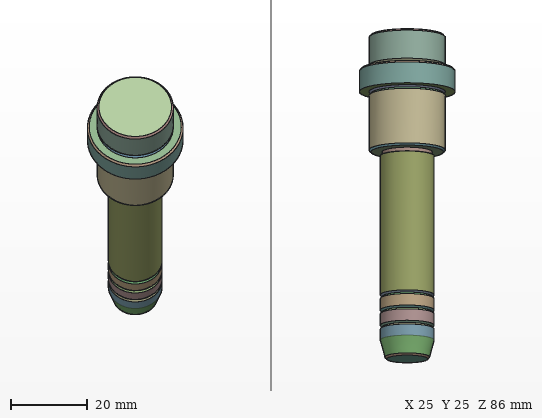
import cadquery as cq
import math

TOTAL_LENGTH = 86.0
HEAD_RADIUS = 10.0
FLANGE_DIAMETER = 25.0
SHAFT_RADIUS = 7.05

FLANGE_TOP = 8.95
FLANGE_BOTTOM = 15.0
BODY_BOTTOM = 31.0
FIRST_RING_GROOVE = 69.0
RING_GROOVE_PITCH = 4.0
RING_GROOVE_COUNT = 3
CONE_START = 81.0

CHAMFER = 0.5
GROOVE_DEPTH = 0.5
GROOVE_WIDTH = 2 * GROOVE_DEPTH
NECK_DEPTH = 0.5
NECK_LENGTH = 1.0
TIP_CHAMFER = 0.5
CONE_HALF_ANGLE = 15.0

NECK_RADIUS = SHAFT_RADIUS - NECK_DEPTH
FLANGE_RADIUS = FLANGE_DIAMETER / 2
CONE_LENGTH = TOTAL_LENGTH - TIP_CHAMFER - CONE_START
TIP_RADIUS = SHAFT_RADIUS - CONE_LENGTH * math.tan(math.radians(CONE_HALF_ANGLE))


def height(distance_from_top):
    """Z coordinate of a level given as a distance below the top face."""
    return TOTAL_LENGTH - distance_from_top


def v_groove(radius, groove_top):
    """Upper edge, root and lower edge of a V groove in a cylinder of this radius."""
    return [
        (radius, height(groove_top)),
        (radius - GROOVE_DEPTH, height(groove_top + GROOVE_WIDTH / 2)),
        (radius, height(groove_top + GROOVE_WIDTH)),
    ]


profile = [(0, TOTAL_LENGTH)]

profile += [(HEAD_RADIUS - CHAMFER, TOTAL_LENGTH), (HEAD_RADIUS, height(CHAMFER))]
profile += v_groove(HEAD_RADIUS, FLANGE_TOP - GROOVE_WIDTH)

profile += [
    (FLANGE_RADIUS - CHAMFER, height(FLANGE_TOP)),
    (FLANGE_RADIUS, height(FLANGE_TOP + CHAMFER)),
    (FLANGE_RADIUS, height(FLANGE_BOTTOM)),
]

profile += v_groove(HEAD_RADIUS, FLANGE_BOTTOM)
profile += [
    (HEAD_RADIUS, height(BODY_BOTTOM - CHAMFER)),
    (HEAD_RADIUS - CHAMFER, height(BODY_BOTTOM)),
]

profile += [
    (NECK_RADIUS, height(BODY_BOTTOM)),
    (NECK_RADIUS, height(BODY_BOTTOM + NECK_LENGTH)),
    (SHAFT_RADIUS, height(BODY_BOTTOM + NECK_LENGTH)),
]
for index in range(RING_GROOVE_COUNT):
    profile += v_groove(SHAFT_RADIUS, FIRST_RING_GROOVE + index * RING_GROOVE_PITCH)

profile += [
    (SHAFT_RADIUS, height(CONE_START)),
    (TIP_RADIUS, TIP_CHAMFER),
    (TIP_RADIUS - TIP_CHAMFER, 0),
    (0, 0),
]

result = cq.Workplane("XZ").polyline(profile).close().revolve(360, (0, 0, 0), (0, 1, 0))